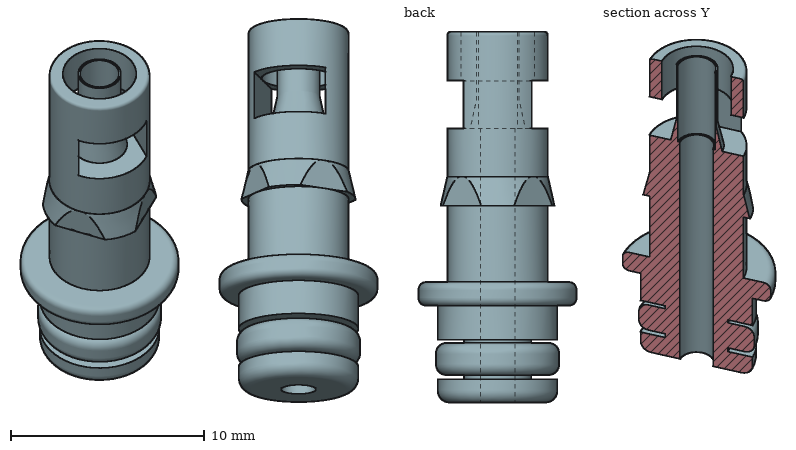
import cadquery as cq

total_height = 19.2
through_bore_d = 1.8

body_d = 5.2
body_edge_radius = 0.2
pocket_d = 3.8
pocket_floor_z = 14.19

window_top_z = 16.67

tube_d = 2.2
tube_bore_d = 2.02
cone_base_d = 2.86
cone_top_z = 15.69

collar_bottom_z = 10.18
collar_top_z = 11.67
collar_top_d = 5.22
collar_bottom_d = 5.91
collar_across_flats = body_d

flange_d = 8.2
flange_bottom_z = 5.01
flange_top_z = 6.24
flange_edge_radius = 0.4

plug_d = 6.2
shoulder_bottom_z = 3.25
neck_d = 3.5
seal_d = 6.4
seal_bottom_z = 1.42
seal_top_z = 3.1
seal_edge_radius = 0.55
disc_top_z = 1.2
disc_edge_radius = 0.61


def cylinder(diameter, bottom_z, top_z):
    """Cylinder on the Z axis between two heights."""
    return cq.Workplane("XY").workplane(offset=bottom_z).circle(diameter / 2).extrude(top_z - bottom_z)


def cone(bottom_d, top_d, bottom_z, top_z):
    """Truncated cone on the Z axis between two heights."""
    profile = [(0, bottom_z), (bottom_d / 2, bottom_z), (top_d / 2, top_z), (0, top_z)]
    return cq.Workplane("XZ").polyline(profile).close().revolve(360, (0, 0), (0, 1))


def upper_body():
    """Tubular body with the annular pocket and a window passing through it along X."""
    body = cylinder(body_d, flange_bottom_z, total_height).faces(">Z").edges().fillet(body_edge_radius)
    pocket = cylinder(pocket_d, pocket_floor_z, total_height)
    window_height = window_top_z - pocket_floor_z
    window = (
        cq.Workplane("XY")
        .workplane(offset=pocket_floor_z)
        .rect(body_d, pocket_d)
        .extrude(window_height)
    )
    return body.cut(pocket).cut(window)


def inner_tube():
    """Thin tube rising from a conical base on the pocket floor."""
    tube = cylinder(tube_d, pocket_floor_z, total_height)
    return tube.union(cone(cone_base_d, tube_d, pocket_floor_z, cone_top_z))


def collar():
    """Flared collar trimmed by four flats at 45 degrees to X and Y."""
    flats = (
        cq.Workplane("XY")
        .box(collar_across_flats, collar_across_flats, total_height, centered=(True, True, False))
        .rotate((0, 0, 0), (0, 0, 1), 45)
    )
    return cone(collar_bottom_d, collar_top_d, collar_bottom_z, collar_top_z).intersect(flats)


def flange():
    """Flange with both rims rounded."""
    return cylinder(flange_d, flange_bottom_z, flange_top_z).edges().fillet(flange_edge_radius)


def plug_end():
    """Shoulder, neck, rounded sealing ring and end disc."""
    shoulder = cylinder(plug_d, shoulder_bottom_z, flange_bottom_z)
    neck = cylinder(neck_d, 0, shoulder_bottom_z)
    seal = cylinder(seal_d, seal_bottom_z, seal_top_z).edges().fillet(seal_edge_radius)
    disc = cylinder(plug_d, 0, disc_top_z).faces("<Z").edges().fillet(disc_edge_radius)
    return shoulder.union(neck).union(seal).union(disc)


result = upper_body().union(inner_tube()).union(collar()).union(flange()).union(plug_end())
result = result.cut(cylinder(through_bore_d, 0, total_height))
result = result.cut(cylinder(tube_bore_d, pocket_floor_z, total_height))